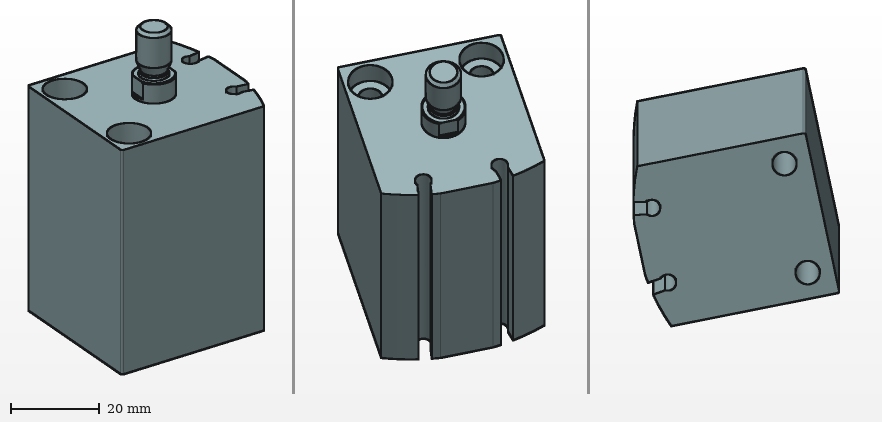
import cadquery as cq
import math


overall_height = 74.0
housing_height = 57.0
housing_width = 38.0
front_y = -21.5
back_y = 20.5
crown_radius = 50.0
crown_center_y = -29.15
corner_radius = 0.5

hole_x = 12.95
hole_y = -15.5
hole_diameter = 5.5
counterbore_diameter = 10.0
counterbore_depth = 5.5

groove_x = 8.9
groove_y = 15.8
groove_diameter = 3.8
groove_mouth_width = 2.95
groove_mouth_length = 7.4
groove_tilt = 9.0

collar_diameter = 10.0
collar_chamfer = 0.2
collar_height = 5.0
flat_spacing = 8.95
flat_base_height = 0.75
stud_diameter = 8.0
stud_chamfer = 0.9
stud_length = 8.5
taper_length = 2.45
neck_diameter = 6.2
flare_size = 0.45


def crown_y(x):
    return crown_center_y + math.sqrt(crown_radius**2 - x**2)


def make_block():
    """Block whose back side has a flat middle and a shared arc on both shoulders."""
    side_x = housing_width / 2
    flat_x = math.sqrt(crown_radius**2 - (back_y - crown_center_y)**2)
    shoulder_x = (side_x + flat_x) / 2
    return (
        cq.Workplane("XY")
        .moveTo(-side_x, front_y)
        .lineTo(side_x, front_y)
        .lineTo(side_x, crown_y(side_x))
        .threePointArc((shoulder_x, crown_y(shoulder_x)), (flat_x, back_y))
        .lineTo(-flat_x, back_y)
        .threePointArc((-shoulder_x, crown_y(shoulder_x)), (-side_x, crown_y(side_x)))
        .close()
        .extrude(housing_height)
        .edges("|Z and <Y")
        .fillet(corner_radius)
    )


def make_groove(side):
    """Round channel with a narrower mouth leaning outward; side is -1 or 1."""
    channel = cq.Workplane("XY").circle(groove_diameter / 2).extrude(housing_height)
    mouth = (
        cq.Workplane("XY")
        .center(0, groove_mouth_length / 2)
        .rect(groove_mouth_width, groove_mouth_length)
        .extrude(housing_height)
    )
    return (
        channel.union(mouth)
        .rotate((0, 0, 0), (0, 0, 1), -side * groove_tilt)
        .translate((side * groove_x, groove_y, 0))
    )


def make_housing():
    block = (
        make_block()
        .faces(">Z")
        .workplane(origin=(0, 0, housing_height))
        .pushPoints([(-hole_x, hole_y), (hole_x, hole_y)])
        .cboreHole(hole_diameter, counterbore_diameter, counterbore_depth)
    )
    for side in (-1, 1):
        block = block.cut(make_groove(side))
    return block


def make_rod():
    """Turned rod end standing on the housing, with two wrench flats on its collar."""
    collar_radius = collar_diameter / 2
    neck_radius = neck_diameter / 2
    stud_radius = stud_diameter / 2
    collar_top = housing_height + collar_height
    taper_top = overall_height - stud_length
    taper_bottom = taper_top - taper_length
    turned = (
        cq.Workplane("XZ")
        .moveTo(0, housing_height)
        .lineTo(collar_radius, housing_height)
        .lineTo(collar_radius, collar_top - collar_chamfer)
        .lineTo(collar_radius - collar_chamfer, collar_top)
        .lineTo(neck_radius + flare_size, collar_top)
        .lineTo(neck_radius, collar_top + flare_size)
        .lineTo(neck_radius, taper_bottom)
        .lineTo(stud_radius, taper_top)
        .lineTo(stud_radius, overall_height - stud_chamfer)
        .lineTo(stud_radius - stud_chamfer, overall_height)
        .lineTo(0, overall_height)
        .close()
        .revolve(360, (0, 0), (0, 1))
    )
    flat_depth = (collar_diameter - flat_spacing) / 2
    flat_height = collar_height - flat_base_height
    flat_center_y = flat_spacing / 2 + flat_depth / 2
    flat_cutters = (
        cq.Workplane("XY", origin=(0, 0, housing_height + flat_base_height))
        .pushPoints([(0, -flat_center_y), (0, flat_center_y)])
        .rect(collar_diameter, flat_depth)
        .extrude(flat_height)
    )
    return turned.cut(flat_cutters)


housing = make_housing()
rod = make_rod()
result = cq.Compound.makeCompound([housing.val(), rod.val()])